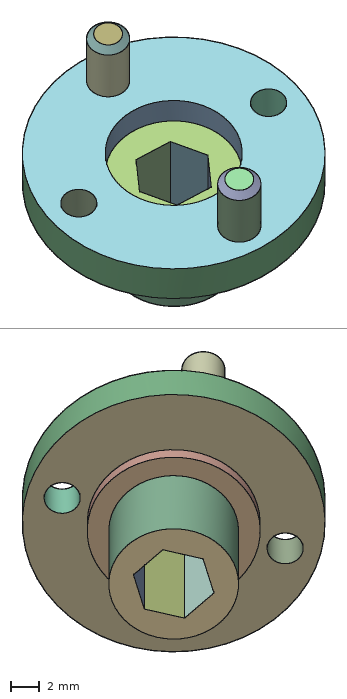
import cadquery as cq
import math

flange_diameter = 21.0
flange_thickness = 3.2

shoulder_diameter = 12.0
shoulder_height = 1.0
hub_diameter = 9.0
hub_height = 7.0

recess_diameter = 9.5
recess_depth = 2.2
hex_across_flats = 5.0
hex_sides = 6
hex_half_angle = 180 / hex_sides
hex_across_corners = hex_across_flats / math.cos(math.radians(hex_half_angle))

pitch_radius = 8.0
pin_diameter = 3.0
pin_height = 5.0
pin_chamfer = 0.5
hole_diameter = 2.5

shoulder_bottom = hub_height
flange_bottom = shoulder_bottom + shoulder_height
flange_top = flange_bottom + flange_thickness


def cylinder(diameter, height, bottom):
    """Vertical cylinder centred on the Z axis."""
    return cq.Workplane("XY").workplane(offset=bottom).circle(diameter / 2).extrude(height)


def make_body():
    """Hub, shoulder and flange stacked on one axis."""
    hub = cylinder(hub_diameter, hub_height, 0)
    shoulder = cylinder(shoulder_diameter, shoulder_height, shoulder_bottom)
    flange = cylinder(flange_diameter, flange_thickness, flange_bottom)
    return hub.union(shoulder).union(flange)


def make_recess():
    """Round pocket open at the flange top."""
    return cylinder(recess_diameter, recess_depth, flange_top - recess_depth)


def make_hex_bore():
    """Full-height hexagonal prism with two flats facing +X and -X."""
    prism = cq.Workplane("XY").polygon(hex_sides, hex_across_corners).extrude(flange_top)
    return prism.rotate((0, 0, 0), (0, 0, 1), hex_half_angle)


def make_pin():
    """Pin standing on the flange top, chamfered at its free end."""
    return cylinder(pin_diameter, pin_height, flange_top).faces(">Z").chamfer(pin_chamfer)


def make_flange_hole():
    """Cutter for a hole through the flange."""
    return cylinder(hole_diameter, flange_thickness, flange_bottom)


result = make_body().cut(make_recess()).cut(make_hex_bore())
for side in (-1, 1):
    offset = side * pitch_radius
    result = result.union(make_pin().translate((offset, 0, 0)))
    result = result.cut(make_flange_hole().translate((0, offset, 0)))